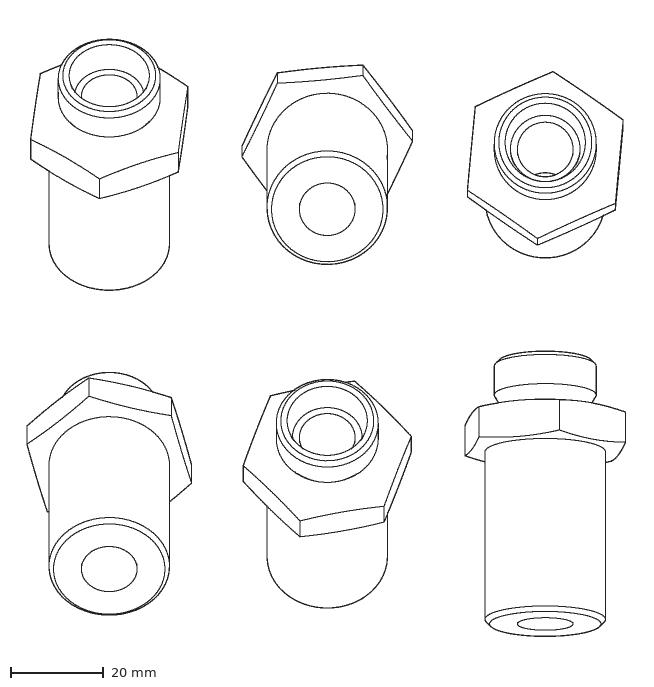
import cadquery as cq
import math

total_height = 58.0
hex_bottom = 38.0
hex_top = 46.0
thread_bottom = 50.6

tube_diameter = 26.0
hex_across_flats = 32.0
relief_diameter = 19.7
thread_diameter = 22.0
end_chamfer = 1.0
relief_fillet = 1.0
shoulder_angle = 30.0
hex_chamfer_angle = 15.0

bore_diameter = 12.0
socket_diameter = 15.0
mouth_diameter = 17.3
cone_half_angle = 12.0
socket_depth = 7.0

hex_sides = 6
half_side_angle = 180 / hex_sides
hex_across_corners = hex_across_flats / math.cos(math.radians(half_side_angle))


def make_tube():
    """Plain cylinder below the hexagon, chamfered at its free end."""
    tube = cq.Workplane("XY").circle(tube_diameter / 2).extrude(hex_bottom)
    return tube.faces("<Z").chamfer(end_chamfer)


def make_hexagon():
    """Hexagon with corners on the Y axis, bevelled by a cone at both ends."""
    height = hex_top - hex_bottom
    flat_radius = hex_across_flats / 2
    corner_radius = hex_across_corners / 2
    bevel_height = (corner_radius - flat_radius) * math.tan(math.radians(hex_chamfer_angle))
    prism = (
        cq.Workplane("XY", origin=(0, 0, hex_bottom))
        .polygon(hex_sides, hex_across_corners)
        .extrude(height)
        .rotate((0, 0, 0), (0, 0, 1), half_side_angle)
    )
    bevel_envelope = (
        cq.Workplane("XY", origin=(0, 0, hex_bottom))
        .circle(corner_radius)
        .extrude(height)
        .faces("<Z or >Z")
        .chamfer(bevel_height, corner_radius - flat_radius)
    )
    return prism.intersect(bevel_envelope)


def make_threaded_end():
    """Revolved stub: relief groove with a fillet at each end, tapered shoulder and chamfered collar."""
    relief_radius = relief_diameter / 2
    thread_radius = thread_diameter / 2
    shoulder_slope = math.radians(shoulder_angle)
    corner_height = thread_bottom - (thread_radius - relief_radius) / math.tan(shoulder_slope)
    tangent_length = relief_fillet * math.tan(shoulder_slope / 2)
    fillet_start = corner_height - tangent_length
    fillet_centre_radius = relief_radius + relief_fillet
    fillet_offset = relief_fillet * (1 - math.sqrt(0.5))
    return (
        cq.Workplane("XZ")
        .moveTo(0, hex_bottom)
        .lineTo(fillet_centre_radius, hex_bottom)
        .lineTo(fillet_centre_radius, hex_top)
        .threePointArc(
            (relief_radius + fillet_offset, hex_top + fillet_offset),
            (relief_radius, hex_top + relief_fillet),
        )
        .lineTo(relief_radius, fillet_start)
        .threePointArc(
            (
                fillet_centre_radius - relief_fillet * math.cos(shoulder_slope / 2),
                fillet_start + relief_fillet * math.sin(shoulder_slope / 2),
            ),
            (
                fillet_centre_radius - relief_fillet * math.cos(shoulder_slope),
                fillet_start + relief_fillet * math.sin(shoulder_slope),
            ),
        )
        .lineTo(thread_radius, thread_bottom)
        .lineTo(thread_radius, total_height - end_chamfer)
        .lineTo(thread_radius - end_chamfer, total_height)
        .lineTo(0, total_height)
        .close()
        .revolve(360, (0, 0), (0, 1))
    )


def make_bore():
    """Through bore opening into a cylindrical socket with a conical mouth."""
    bore_radius = bore_diameter / 2
    socket_radius = socket_diameter / 2
    mouth_radius = mouth_diameter / 2
    cone_depth = (mouth_radius - socket_radius) / math.tan(math.radians(cone_half_angle))
    socket_floor = total_height - socket_depth
    return (
        cq.Workplane("XZ")
        .polyline([
            (0, 0),
            (bore_radius, 0),
            (bore_radius, socket_floor),
            (socket_radius, socket_floor),
            (socket_radius, total_height - cone_depth),
            (mouth_radius, total_height),
            (0, total_height),
        ])
        .close()
        .revolve(360, (0, 0), (0, 1))
    )


body = make_tube().union(make_hexagon()).union(make_threaded_end())
result = body.cut(make_bore())